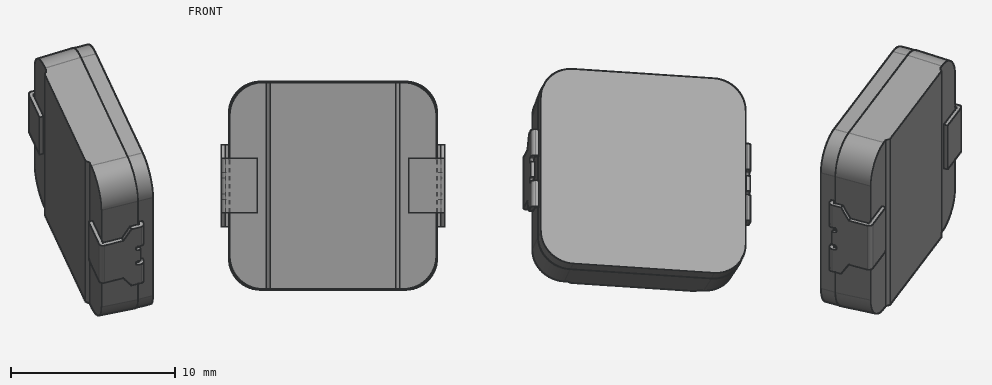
import cadquery as cq

total_width = 13.6
total_depth = 3.56
body_side = 12.7
rim_side = 12.68
back_y = total_depth / 2
foot_y = -back_y

corner_radius = 1.97
rim_depth = 0.98
side_draft = 0.08
pad_lip = 0.07
pad_half_width = 3.82
pad_base_half_width = 4.05
rim_y = back_y - rim_depth
pad_y = foot_y + pad_lip

sheet = 0.26
bend_radius = 0.25
tab_top_y = back_y - 0.7
seat_y = foot_y + sheet
foot_length = 2.2
tab_embed = 0.41
wide_width = 5.0
narrow_width = 3.32
shoulder_start_y = back_y - 1.56
shoulder_end_y = back_y - 2.08
tab_gap = 1.63
slot_width = 0.33
slot_end_y = back_y - 1.26
slot_corner_radius = 0.15


def body_section(side, y):
    """Rounded square profile for an XZ workplane, placed at the given Y."""
    return cq.Sketch().rect(side, side).vertices().fillet(corner_radius).moved(
        cq.Location(cq.Vector(0, 0, -y))
    )


def make_body():
    rim = cq.Workplane("XZ").placeSketch(body_section(rim_side, back_y)).extrude(rim_depth)
    drafted = (
        cq.Workplane("XZ")
        .placeSketch(body_section(body_side, rim_y), body_section(body_side - 2 * side_draft, pad_y))
        .loft(ruled=True)
    )
    body = rim.union(drafted)

    for side in (-1, 1):
        step = (
            cq.Workplane("XY")
            .moveTo(side * pad_half_width, pad_y)
            .lineTo(side * pad_base_half_width, seat_y)
            .lineTo(side * total_width / 2, seat_y)
            .lineTo(side * total_width / 2, pad_y)
            .close()
            .extrude(body_side / 2, both=True)
        )
        body = body.cut(step)
    return body


def make_left_terminal():
    outer_x = -total_width / 2
    inner_x = outer_x + sheet
    tab_end_x = -body_side / 2 + tab_embed

    strip = (
        cq.Workplane("XY")
        .moveTo(tab_end_x, tab_top_y)
        .lineTo(outer_x, tab_top_y)
        .lineTo(outer_x, foot_y)
        .lineTo(outer_x + foot_length, foot_y)
        .lineTo(outer_x + foot_length, seat_y)
        .lineTo(inner_x, seat_y)
        .lineTo(inner_x, tab_top_y - sheet)
        .lineTo(tab_end_x, tab_top_y - sheet)
        .close()
        .extrude(wide_width / 2, both=True)
        .edges("|Z and <X")
        .fillet(bend_radius)
    )

    blank = (
        cq.Workplane("YZ", origin=(outer_x, 0, 0))
        .moveTo(tab_top_y, wide_width / 2)
        .lineTo(shoulder_start_y, wide_width / 2)
        .lineTo(shoulder_end_y, narrow_width / 2)
        .lineTo(foot_y, narrow_width / 2)
        .lineTo(foot_y, -narrow_width / 2)
        .lineTo(shoulder_end_y, -narrow_width / 2)
        .lineTo(shoulder_start_y, -wide_width / 2)
        .lineTo(tab_top_y, -wide_width / 2)
        .close()
        .extrude(foot_length)
    )
    terminal = strip.intersect(blank)

    gap = cq.Workplane("XY").box(foot_length, sheet, tab_gap, centered=(False, False, True))
    terminal = terminal.cut(gap.translate((outer_x, tab_top_y - sheet, 0)))
    slot_depth = tab_top_y - slot_end_y
    slot = (
        cq.Workplane("XY")
        .box(foot_length, slot_depth, slot_width, centered=(False, False, True))
        .edges("|X and <Y")
        .fillet(slot_corner_radius)
    )
    slot_z = (tab_gap - slot_width) / 2
    for z in (-slot_z, slot_z):
        terminal = terminal.cut(slot.translate((outer_x, slot_end_y, z)))
    return terminal


left_terminal = make_left_terminal()
right_terminal = left_terminal.mirror("YZ")
result = make_body().union(left_terminal).union(right_terminal)